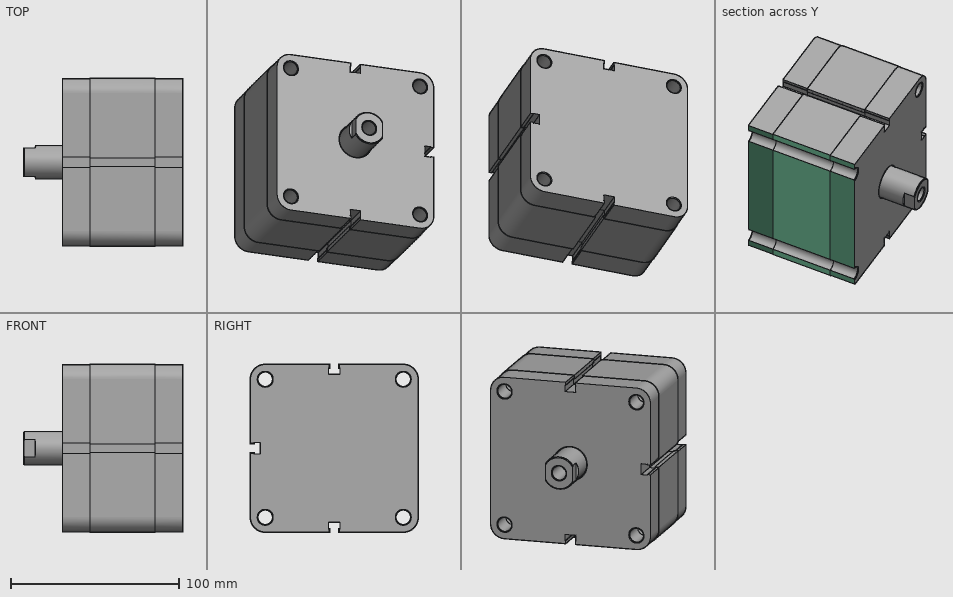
import cadquery as cq

overall_length = 94.5
barrel_width = 100.0
cap_width = 99.5
cap_length = 16.5
barrel_length = 38.5
corner_radius = 9.0

rod_tip_x = -overall_length / 2
rear_x = overall_length / 2
rear_cap_x = rear_x - cap_length
barrel_x = rear_cap_x - barrel_length
front_x = barrel_x - cap_length

hole_diameter = 8.5
hole_mouth_diameter = 9.5
hole_mouth_chamfer = (hole_mouth_diameter - hole_diameter) / 2
hole_spacing = barrel_width - 2 * corner_radius

slot_width = 6.6
slot_depth = 6.0
cap_mouth_width = 6.0
cap_lip_depth = 2.2
barrel_mouth_width = 5.0
barrel_lip_depth = 2.5
slot_angles = (0, 90, 180)

rod_diameter = 20.0
rod_tip_chamfer = 0.5
bore_mouth_chamfer = 0.5
flat_spacing = 17.0
flat_length = 6.7
flat_runout = 0.4
thread_diameter = 8.5
thread_mouth_chamfer = 0.5
thread_depth = 20.0
drill_tip_length = 2.5


def rounded_block(start_x, length, width, radius):
    """Square block with rounded corners, extending along +X from start_x."""
    return (
        cq.Workplane("YZ", origin=(start_x, 0, 0))
        .rect(width, width)
        .extrude(length)
        .edges("|X")
        .fillet(radius)
    )


def slots(start_x, length, mouth_width, lip_depth):
    """T-slot cutters for the +Z, -Y and -Z sides."""
    side = barrel_width / 2
    floor = side - slot_depth
    plane = cq.Workplane("YZ", origin=(start_x, 0, 0))
    mouth = plane.center(0, (floor + side) / 2).rect(mouth_width, slot_depth).extrude(length)
    channel_height = slot_depth - lip_depth
    channel = plane.center(0, floor + channel_height / 2).rect(slot_width, channel_height).extrude(length)
    slot = mouth.union(channel)
    cutters = cq.Workplane()
    for angle in slot_angles:
        cutters = cutters.add(slot.rotate((0, 0, 0), (1, 0, 0), angle))
    return cutters.combine()


def section(start_x, length, width, mouth_width, lip_depth):
    """One length of the housing with its corner holes and T-slots."""
    radius = corner_radius - (barrel_width - width) / 2
    holes = (
        cq.Workplane("YZ", origin=(start_x, 0, 0))
        .rect(hole_spacing, hole_spacing, forConstruction=True)
        .vertices()
        .circle(hole_diameter / 2)
        .extrude(length)
    )
    block = rounded_block(start_x, length, width, radius)
    return block.cut(holes).cut(slots(start_x, length, mouth_width, lip_depth))


def end_cap(start_x, outer_face):
    """End cap whose corner holes are chamfered on the outer face."""
    cap = section(start_x, cap_length, cap_width, cap_mouth_width, cap_lip_depth)
    hole_rims = cq.selectors.RadiusNthSelector(0)
    return cap.faces(outer_face).edges("%CIRCLE").edges(hole_rims).chamfer(hole_mouth_chamfer)


def make_barrel():
    return section(barrel_x, barrel_length, barrel_width, barrel_mouth_width, barrel_lip_depth)


def make_front_cap():
    """Front cap with a through bore for the rod, chamfered at its mouth."""
    bore = cq.Workplane("YZ", origin=(front_x, 0, 0)).circle(rod_diameter / 2).extrude(cap_length)
    bored_cap = end_cap(front_x, "<X").cut(bore)
    bore_rim = cq.selectors.RadiusNthSelector(-1)
    return bored_cap.faces("<X").edges("%CIRCLE").edges(bore_rim).chamfer(bore_mouth_chamfer)


def make_rod():
    """Rod through the front cap, with two wrench flats and a drilled tip."""
    radius = rod_diameter / 2
    rod = (
        cq.Workplane("YZ", origin=(rod_tip_x, 0, 0))
        .circle(radius)
        .extrude(barrel_x - rod_tip_x)
        .faces("<X")
        .chamfer(rod_tip_chamfer)
    )

    flat_y = flat_spacing / 2
    flat = (
        cq.Workplane("XY", origin=(0, 0, -radius))
        .moveTo(rod_tip_x, flat_y)
        .lineTo(rod_tip_x + flat_length, flat_y)
        .lineTo(rod_tip_x + flat_length + flat_runout, radius)
        .lineTo(rod_tip_x, radius)
        .close()
        .extrude(rod_diameter)
    )
    rod = rod.cut(flat).cut(flat.mirror("XZ"))

    thread_radius = thread_diameter / 2
    thread = (
        cq.Workplane("XY")
        .moveTo(rod_tip_x, 0)
        .lineTo(rod_tip_x, thread_radius + thread_mouth_chamfer)
        .lineTo(rod_tip_x + thread_mouth_chamfer, thread_radius)
        .lineTo(rod_tip_x + thread_depth, thread_radius)
        .lineTo(rod_tip_x + thread_depth + drill_tip_length, 0)
        .close()
        .revolve(360, (0, 0, 0), (1, 0, 0))
    )
    return rod.cut(thread)


barrel = make_barrel()
front_cap = make_front_cap()
rear_cap = end_cap(rear_cap_x, ">X")
rod = make_rod()

result = cq.Compound.makeCompound([barrel.val(), front_cap.val(), rear_cap.val(), rod.val()])